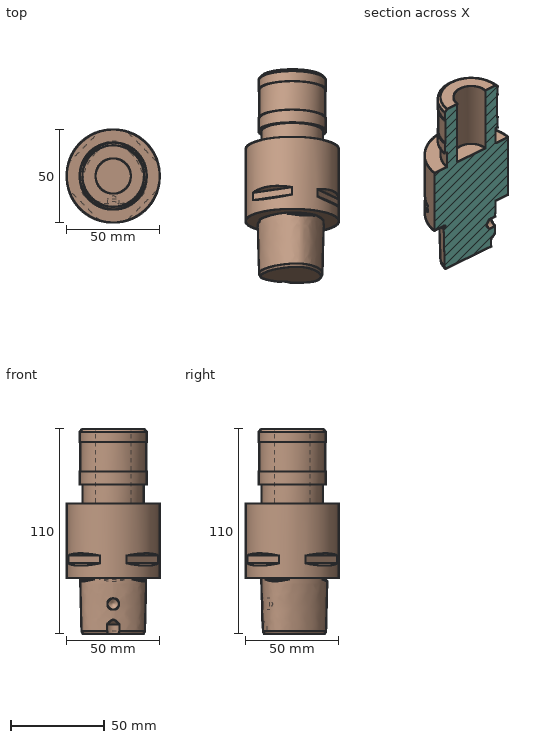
import cadquery as cq
import math

TOTAL_HEIGHT = 110.0
FLANGE_BOTTOM = 30.0
FLANGE_TOP = 70.1
LOWER_COLLAR_BOTTOM = 80.1
LOWER_COLLAR_TOP = 87.1
UPPER_COLLAR_BOTTOM = 103.0

FLANGE_DIAMETER = 50.0
FLANGE_RADIUS = FLANGE_DIAMETER / 2
NECK_RADIUS = 16.5
COLLAR_RADIUS = 18.0
WAIST_RADIUS = 17.7
TOP_CHAMFER = 1.5
BORE_RADIUS = 9.5
BORE_DEPTH = TOTAL_HEIGHT - FLANGE_TOP

NOTCH_COUNT = 4
NOTCH_FLOOR_RADIUS = 22.0
NOTCH_FLOOR_HEIGHT = 4.1
NOTCH_FLARE = 1.3
NOTCH_CENTER_Z = 40.0

SHANK_RADIUS = 17.7
LOBE_RISE = 1.1
LOBE_COUNT = 3
STRAIGHT_LENGTH = 3.0
TAPER_SLOPE = 1 / 40
TIP_CHAMFER_HEIGHT = 1.6
TIP_CHAMFER_INSET = 0.9
RELIEF_RADIUS = 17.7
RELIEF_HEIGHT = 0.7

SIDE_HOLE_POINT_ANGLE = 118
SIDE_HOLE_RADIUS = 3.1
SIDE_HOLE_Z = 16.2
SIDE_HOLE_DEPTH = 4.4
KEYWAY_RADIUS = 3.6
KEYWAY_HEIGHT = 5.3
KEYWAY_POINT_ANGLE = 90
KEYWAY_AXIS_Y = -17.3


def disc(bottom, top, radius):
    """Vertical cylinder between two heights."""
    return cq.Workplane("XY", origin=(0, 0, bottom)).circle(radius).extrude(top - bottom)


def lobed_section(z, radius):
    """Outline at height z with one lobe to +Y, as two halves that meet on the Y axis."""

    def outline_point(angle):
        phase = LOBE_COUNT * (angle - math.pi / 2)
        reach = radius + LOBE_RISE * math.cos(phase)
        slope = -LOBE_COUNT * LOBE_RISE * math.sin(phase)
        x = reach * math.cos(angle) - slope * math.sin(angle)
        y = reach * math.sin(angle) + slope * math.cos(angle)
        return cq.Vector(x, y, z)

    half_steps = 24
    angles = [math.pi * (step / half_steps - 0.5) for step in range(half_steps + 1)]
    end_tangents = [cq.Vector(1, 0, 0), cq.Vector(-1, 0, 0)]
    right_half = cq.Edge.makeSpline([outline_point(angle) for angle in angles], end_tangents)
    left_half = right_half.mirror("YZ")
    return [right_half, left_half]


def shank():
    """Chamfered tip, taper and straight root, with the lobes relieved below the flange."""
    taper_top = FLANGE_BOTTOM - STRAIGHT_LENGTH
    taper_end_radius = SHANK_RADIUS - TAPER_SLOPE * (taper_top - TIP_CHAMFER_HEIGHT)
    sections = [
        lobed_section(0, taper_end_radius - TIP_CHAMFER_INSET),
        lobed_section(TIP_CHAMFER_HEIGHT, taper_end_radius),
        lobed_section(taper_top, SHANK_RADIUS),
        lobed_section(FLANGE_BOTTOM, SHANK_RADIUS),
    ]
    faces = [cq.Face.makeFromWires(cq.Wire.assembleEdges(ends)) for ends in (sections[0], sections[-1])]
    for lower, upper in zip(sections, sections[1:]):
        for lower_half, upper_half in zip(lower, upper):
            faces.append(cq.Face.makeRuledSurface(lower_half, upper_half))
    solid = cq.Solid.makeSolid(cq.Shell.makeShell(faces))
    return cq.Workplane(solid.fix()).cut(lobe_relief(), clean=False)


def lobe_relief():
    """Ring with a 45 degree lower flank that trims the lobes next to the flange."""
    relief_width = 2 * LOBE_RISE
    outer_radius = RELIEF_RADIUS + relief_width
    groove_bottom = FLANGE_BOTTOM - RELIEF_HEIGHT
    profile = (
        cq.Workplane("XZ")
        .moveTo(RELIEF_RADIUS, FLANGE_BOTTOM)
        .lineTo(RELIEF_RADIUS, groove_bottom)
        .lineTo(outer_radius, groove_bottom - relief_width)
        .lineTo(outer_radius, FLANGE_BOTTOM)
        .close()
    )
    return profile.revolve(360, (0, 0, 0), (0, 1, 0))


def spigot():
    neck = disc(FLANGE_TOP, LOWER_COLLAR_BOTTOM, NECK_RADIUS)
    lower_collar = disc(LOWER_COLLAR_BOTTOM, LOWER_COLLAR_TOP, COLLAR_RADIUS)
    waist = disc(LOWER_COLLAR_TOP, UPPER_COLLAR_BOTTOM, WAIST_RADIUS)
    upper_collar = disc(UPPER_COLLAR_BOTTOM, TOTAL_HEIGHT, COLLAR_RADIUS)
    upper_collar = upper_collar.faces(">Z").chamfer(TOP_CHAMFER)
    return neck.union(lower_collar).union(waist).union(upper_collar)


def gripper_notch(angle):
    """Flat-floored notch with flared sides, cut into the flange at the given angle."""
    half_floor = NOTCH_FLOOR_HEIGHT / 2
    half_mouth = half_floor + NOTCH_FLARE
    profile = cq.Workplane("XZ").polyline([
        (NOTCH_FLOOR_RADIUS, NOTCH_CENTER_Z - half_floor),
        (FLANGE_RADIUS, NOTCH_CENTER_Z - half_mouth),
        (FLANGE_RADIUS, NOTCH_CENTER_Z + half_mouth),
        (NOTCH_FLOOR_RADIUS, NOTCH_CENTER_Z + half_floor),
    ]).close()
    notch = profile.extrude(FLANGE_RADIUS, both=True)
    return notch.rotate((0, 0, 0), (0, 0, 1), angle)


def drilled_hole(start, direction, radius, depth, point_angle):
    """Round hole ending in a conical drill point."""
    start = cq.Vector(*start)
    direction = cq.Vector(*direction)
    point_height = radius / math.tan(math.radians(point_angle / 2))
    barrel = cq.Solid.makeCylinder(radius, depth, start, direction)
    point = cq.Solid.makeCone(radius, 0, point_height, start + direction * depth, direction)
    return cq.Workplane(barrel).union(cq.Workplane(point))


flange = disc(FLANGE_BOTTOM, FLANGE_TOP, FLANGE_RADIUS)
notch_spacing = 360 / NOTCH_COUNT
for index in range(NOTCH_COUNT):
    flange = flange.cut(gripper_notch((index + 0.5) * notch_spacing))

bore = disc(TOTAL_HEIGHT - BORE_DEPTH, TOTAL_HEIGHT, BORE_RADIUS)

shank_envelope = SHANK_RADIUS + LOBE_RISE
side_hole_mouth = SHANK_RADIUS - LOBE_RISE
side_hole = drilled_hole(
    (0, -shank_envelope, SIDE_HOLE_Z),
    (0, 1, 0),
    SIDE_HOLE_RADIUS,
    shank_envelope - side_hole_mouth + SIDE_HOLE_DEPTH,
    SIDE_HOLE_POINT_ANGLE,
)
keyway = drilled_hole((0, KEYWAY_AXIS_Y, 0), (0, 0, 1), KEYWAY_RADIUS, KEYWAY_HEIGHT, KEYWAY_POINT_ANGLE)

body = flange.union(spigot()).cut(bore)

drilled_shank = shank()
for drilling in (side_hole, keyway):
    drilled_shank = drilled_shank.cut(drilling, clean=False)

result = body.union(drilled_shank, clean=False)